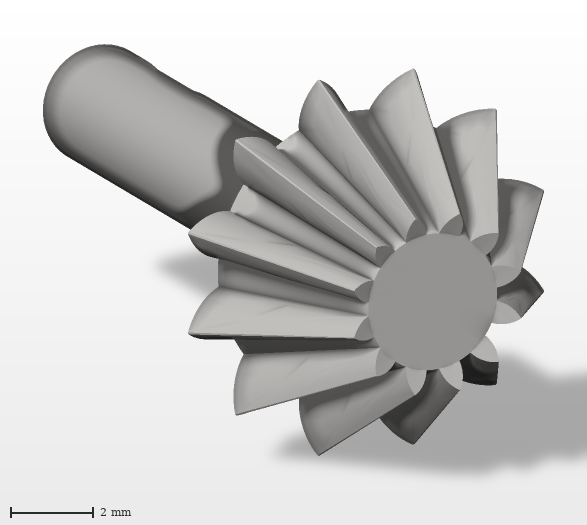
import cadquery as cq
import math


shaft_radius = 1.5
shaft_length = 12.0
collar_radius = 2.0
notch_start = 1.0
notch_length = 3.5
notch_floor_y = 0.5

tooth_count = 12
mating_tooth_count = 24
module = 0.7
face_width = 5.0
apex_x = 24.0
addendum = 0.8
dedendum = 0.58
back_face_radius = 3.57

root_half_width = 0.60
pitch_half_width = 0.525
tip_half_width = 0.026

pitch_radius = module * tooth_count / 2
pitch_angle = math.atan(tooth_count / mating_tooth_count)
cone_distance = pitch_radius / math.sin(pitch_angle)
pitch_x = apex_x - cone_distance * math.cos(pitch_angle)
toe_ratio = 1 - face_width / cone_distance


def heel_point(height):
    """(X, radius) on the back cone, at a height above the pitch cone."""
    x = pitch_x + height * math.sin(pitch_angle)
    radius = pitch_radius + height * math.cos(pitch_angle)
    return x, radius


def toward_apex(point, ratio):
    """Scale an (X, radius) point about the cone apex."""
    x, radius = point
    return apex_x + (x - apex_x) * ratio, radius * ratio


root_heel = heel_point(-dedendum)
root_toe = toward_apex(root_heel, toe_ratio)
back_face_x = pitch_x - (pitch_radius - back_face_radius) * math.tan(pitch_angle)
back_face_edge = (back_face_x, back_face_radius)

heel_overrun = 1.1
toe_overrun = 0.8 * toe_ratio

tooth_overlap = 0.25


def revolve_about_x(points):
    return cq.Workplane("XY").polyline(points).close().revolve(360, (0, 0, 0), (1, 0, 0))


def make_shaft():
    shaft = cq.Workplane("YZ").circle(shaft_radius).extrude(shaft_length)
    collar = (
        cq.Workplane("YZ")
        .workplane(offset=shaft_length)
        .circle(collar_radius)
        .extrude(back_face_x - shaft_length)
    )
    notch = cq.Workplane("XY").box(
        notch_length, shaft_radius, 2 * shaft_radius, centered=(False, False, True)
    ).translate((notch_start, notch_floor_y, 0))
    return shaft.cut(notch).union(collar)


def make_root_cone():
    """Cone of the tooth gaps, running past both ends of the gear."""
    back = toward_apex(root_heel, heel_overrun)
    front = toward_apex(root_heel, toe_overrun)
    return revolve_about_x([(back[0], 0), back, front, (front[0], 0)])


def make_gear_envelope():
    """Flat and conical back, open tip side, conical tooth ends and a flat front face."""
    clear_heel = heel_point(2 * addendum)
    clear_toe = toward_apex(clear_heel, toe_ratio)
    return revolve_about_x(
        [(back_face_x, 0), back_face_edge, clear_heel, clear_toe, root_toe, (root_toe[0], 0)]
    )


def section_point(height, half_width, plane_x):
    """Project a flank point of the back cone from the apex onto a plane of constant X."""
    x, radius = heel_point(height)
    scale = (apex_x - plane_x) / (apex_x - x)
    angle = half_width / radius
    return radius * scale * math.sin(angle), radius * scale * math.cos(angle)


def tooth_section(plane_x):
    """Closed tooth outline: arc flanks, a narrow top land and a straight foot."""
    root_y, root_z = section_point(-dedendum, root_half_width, plane_x)
    pitch_y, pitch_z = section_point(0, pitch_half_width, plane_x)
    tip_y, tip_z = section_point(addendum, tip_half_width, plane_x)
    foot_y, foot_z = section_point(-dedendum - tooth_overlap, root_half_width, plane_x)
    return (
        cq.Workplane("YZ", origin=(plane_x, 0, 0))
        .moveTo(-foot_y, foot_z)
        .lineTo(-root_y, root_z)
        .threePointArc((-pitch_y, pitch_z), (-tip_y, tip_z))
        .lineTo(tip_y, tip_z)
        .threePointArc((pitch_y, pitch_z), (root_y, root_z))
        .lineTo(foot_y, foot_z)
        .close()
        .val()
    )


def make_tooth():
    """Tooth tapering to the apex, running past both ends of the gear."""
    back = toward_apex(root_heel, heel_overrun)
    front = toward_apex(root_heel, toe_overrun)
    sections = [tooth_section(back[0]), tooth_section(front[0])]
    return cq.Workplane(cq.Solid.makeLoft(sections, True))


def make_gear():
    gear = make_root_cone()
    tooth = make_tooth()
    tooth_pitch = 360 / tooth_count
    for index in range(tooth_count):
        angle = (index + 0.5) * tooth_pitch
        gear = gear.union(tooth.rotate((0, 0, 0), (1, 0, 0), angle))
    return gear.intersect(make_gear_envelope())


result = make_shaft().union(make_gear())